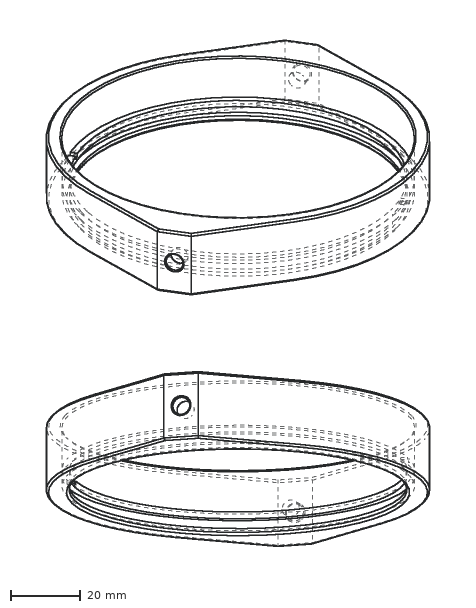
import cadquery as cq
import math

LENGTH = 127.0
HEIGHT = 20.0
OUTER_RADIUS = 55.5
LUG_FLAT_WIDTH = 10.3
EDGE_CHAMFER = 0.6

BORE_RADIUS = 51.0
LIP_RADIUS = 48.9
LIP_HEIGHT = 1.9
LIP_CHAMFER = 0.8
MOUTH_CHAMFER = 0.5

HOLE_RADIUS = 2.5
HOLE_CHAMFER = 0.4
HOLE_DEPTH = 5.1
DRILL_POINT_ANGLE = 118.0

RING_INNER_RADIUS = 48.9
RING_BOTTOM = 4.8
RING_HEIGHT = 2.0
SLOT_WIDTH = 1.9
SLOT_DEPTH = 1.0


def make_outline():
    """Round body with two opposite lugs whose sloping sides are tangent to the circle."""
    corner_x = LUG_FLAT_WIDTH / 2
    corner_y = LENGTH / 2
    corner_distance = math.hypot(corner_x, corner_y)
    tangent_angle = math.atan2(corner_y, corner_x) - math.acos(OUTER_RADIUS / corner_distance)
    tangent_x = OUTER_RADIUS * math.cos(tangent_angle)
    tangent_y = OUTER_RADIUS * math.sin(tangent_angle)
    return (
        cq.Workplane("XY")
        .moveTo(-corner_x, corner_y)
        .lineTo(corner_x, corner_y)
        .lineTo(tangent_x, tangent_y)
        .threePointArc((OUTER_RADIUS, 0), (tangent_x, -tangent_y))
        .lineTo(corner_x, -corner_y)
        .lineTo(-corner_x, -corner_y)
        .lineTo(-tangent_x, -tangent_y)
        .threePointArc((-OUTER_RADIUS, 0), (-tangent_x, tangent_y))
        .close()
    )


def make_bore():
    """Space inside the housing: chamfered lip opening, main bore and chamfered mouth."""
    mouth_radius = BORE_RADIUS + MOUTH_CHAMFER
    return (
        cq.Workplane("XZ")
        .moveTo(0, 0)
        .lineTo(LIP_RADIUS + LIP_CHAMFER, 0)
        .lineTo(LIP_RADIUS, LIP_CHAMFER)
        .lineTo(LIP_RADIUS, LIP_HEIGHT)
        .lineTo(BORE_RADIUS, LIP_HEIGHT)
        .lineTo(BORE_RADIUS, HEIGHT - MOUTH_CHAMFER)
        .lineTo(mouth_radius, HEIGHT)
        .lineTo(0, HEIGHT)
        .close()
        .revolve(360, (0, 0), (0, 1))
    )


def make_mounting_hole():
    """Drilled hole with a chamfered mouth and a conical bottom, entering from the -Y lug flat."""
    point_depth = HOLE_RADIUS / math.tan(math.radians(DRILL_POINT_ANGLE / 2))
    face_y = -LENGTH / 2
    bottom_y = face_y + HOLE_DEPTH
    return (
        cq.Workplane("XY")
        .moveTo(0, face_y)
        .lineTo(HOLE_RADIUS + HOLE_CHAMFER, face_y)
        .lineTo(HOLE_RADIUS, face_y + HOLE_CHAMFER)
        .lineTo(HOLE_RADIUS, bottom_y)
        .lineTo(0, bottom_y + point_depth)
        .close()
        .revolve(360, (0, 0), (0, 1))
        .translate((0, 0, HEIGHT / 2))
    )


def make_housing():
    body = make_outline().extrude(HEIGHT).faces("<Z or >Z").edges().chamfer(EDGE_CHAMFER)
    body = body.cut(make_bore())
    for angle in (0, 180):
        body = body.cut(make_mounting_hole().rotate((0, 0, 0), (0, 0, 1), angle))
    return body


def make_retaining_ring():
    """Plain ring with a spanner slot across its top face at each end of the X axis."""
    ring = (
        cq.Workplane("XY")
        .workplane(offset=RING_BOTTOM)
        .circle(BORE_RADIUS)
        .circle(RING_INNER_RADIUS)
        .extrude(RING_HEIGHT)
    )
    slots = (
        cq.Workplane("XY")
        .workplane(offset=RING_BOTTOM + RING_HEIGHT - SLOT_DEPTH)
        .rect(2 * OUTER_RADIUS, SLOT_WIDTH)
        .extrude(SLOT_DEPTH)
    )
    return ring.cut(slots)


housing = make_housing()
retaining_ring = make_retaining_ring()

result = cq.Compound.makeCompound([housing.val(), retaining_ring.val()])